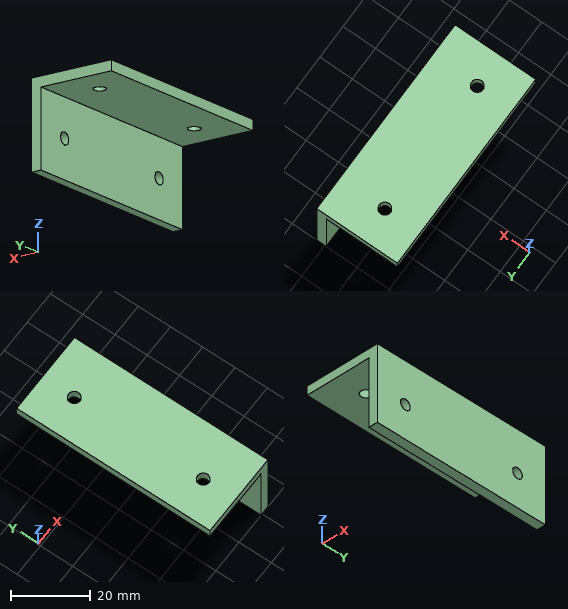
import cadquery as cq

leg = 25.0
length = 60.0
thickness = 3.0
hole_diameter = 3.4
hole_end_offset = 10.0

hole_edge_offset = (leg - thickness) / 2
hole_y_positions = (hole_end_offset, length - hole_end_offset)


def angle_body():
    """Horizontal plate on top, vertical plate along the +X side."""
    top_plate = cq.Workplane("XY").box(leg, length, thickness, centered=False)
    top_plate = top_plate.translate((0, 0, leg - thickness))
    side_plate = cq.Workplane("XY").box(thickness, length, leg, centered=False)
    side_plate = side_plate.translate((leg - thickness, 0, 0))
    return top_plate.union(side_plate)


def top_plate_holes():
    """Vertical drills through the horizontal plate."""
    centers = [(hole_edge_offset, y) for y in hole_y_positions]
    plane = cq.Workplane("XY", origin=(0, 0, leg - thickness))
    return plane.pushPoints(centers).circle(hole_diameter / 2).extrude(thickness)


def side_plate_holes():
    """Drills along X through the vertical plate."""
    centers = [(y, hole_edge_offset) for y in hole_y_positions]
    plane = cq.Workplane("YZ", origin=(leg - thickness, 0, 0))
    return plane.pushPoints(centers).circle(hole_diameter / 2).extrude(thickness)


result = angle_body().cut(top_plate_holes()).cut(side_plate_holes())